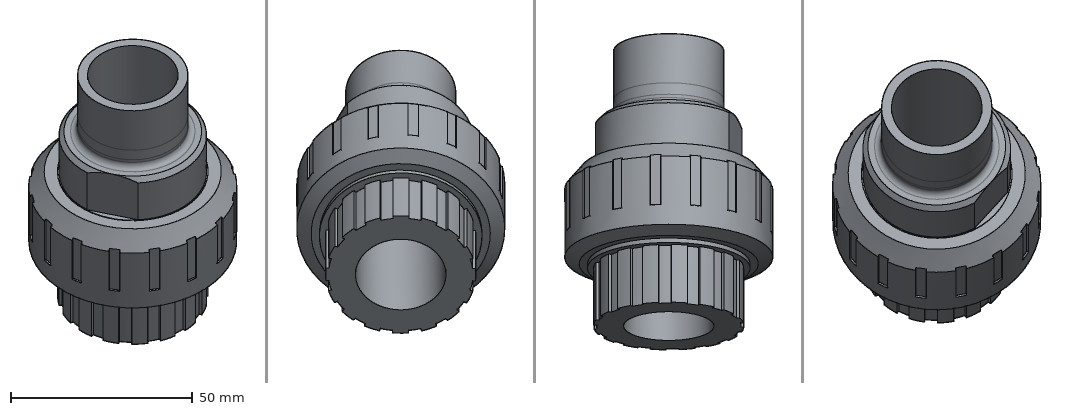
import cadquery as cq
import math

bore_diameter = 25.0

socket_rib_diameter = 41.5
socket_root_diameter = 39.8
socket_rib_width = 4.5
socket_rib_count = 16
collar_diameter = 44.9
collar_bottom = 16.8
joint_height = 32.0

nut_diameter = 57.4
nut_top_diameter = 48.9
nut_bottom_diameter = 49.4
nut_opening_diameter = 41.6
nut_bottom = 18.1
nut_lower_edge = 20.0
nut_upper_edge = 39.8
nut_shoulder = 40.4
nut_top = 45.0

slot_count = 16
slot_width = 3.0
slot_depth = 0.6
slot_bottom = 25.8
slot_start_angle = 6.8

guide_diameter = 41.5
guide_top = 44.8
neck_diameter = 40.7
neck_top = 59.5
neck_chamfer = 1.4
spigot_diameter = 30.5
spigot_root_diameter = 30.6
taper_top = 65.7
taper_bottom = 62.3
root_fillet = 1.8
spigot_top = 80.0


def disc(diameter, bottom, top):
    """Solid cylinder about the Z axis between two heights."""
    return cq.Workplane("XY").workplane(offset=bottom).circle(diameter / 2).extrude(top - bottom)


def revolve_profile(profile):
    """Turn a closed (radius, height) profile a full turn about the Z axis."""
    return profile.close().revolve(360, (0, 0, 0), (0, 1, 0))


def make_socket_end():
    body = disc(socket_root_diameter, 0, collar_bottom)
    body = body.union(disc(collar_diameter, collar_bottom, joint_height))
    rib_envelope = disc(socket_rib_diameter, 0, collar_bottom)
    rib_pair = (
        cq.Workplane("XY")
        .rect(2 * socket_rib_diameter, socket_rib_width)
        .extrude(collar_bottom)
        .intersect(rib_envelope)
    )
    for i in range(socket_rib_count // 2):
        body = body.union(rib_pair.rotate((0, 0, 0), (0, 0, 1), i * 360 / socket_rib_count))
    return body.cut(disc(bore_diameter, 0, joint_height))


def make_union_nut():
    nut = revolve_profile(
        cq.Workplane("XZ")
        .moveTo(collar_diameter / 2, nut_bottom)
        .lineTo(nut_bottom_diameter / 2, nut_bottom)
        .lineTo(nut_diameter / 2, nut_lower_edge)
        .lineTo(nut_diameter / 2, nut_upper_edge)
        .lineTo(nut_top_diameter / 2, nut_top)
        .lineTo(nut_opening_diameter / 2, nut_top)
        .lineTo(nut_opening_diameter / 2, nut_shoulder)
        .lineTo(collar_diameter / 2, nut_shoulder)
    )
    slot_floor = nut_diameter / 2 - slot_depth
    slot = cq.Workplane("XY").box(
        2 * slot_depth, slot_width, nut_top - slot_bottom, centered=(False, True, False)
    ).translate((slot_floor, 0, slot_bottom))
    for i in range(slot_count):
        angle = slot_start_angle + i * 360 / slot_count
        nut = nut.cut(slot.rotate((0, 0, 0), (0, 0, 1), angle))
    return nut


def make_spigot_end():
    neck_top_radius = neck_diameter / 2 - neck_chamfer
    root_radius = spigot_root_diameter / 2
    fillet_reach = root_fillet * (1 - math.sqrt(0.5))
    body = revolve_profile(
        cq.Workplane("XZ")
        .moveTo(bore_diameter / 2, joint_height)
        .lineTo(collar_diameter / 2, joint_height)
        .lineTo(collar_diameter / 2, nut_shoulder)
        .lineTo(guide_diameter / 2, nut_shoulder)
        .lineTo(guide_diameter / 2, guide_top)
        .lineTo(neck_diameter / 2, guide_top)
        .lineTo(neck_diameter / 2, neck_top - neck_chamfer)
        .lineTo(neck_top_radius, neck_top)
        .lineTo(root_radius + root_fillet, neck_top)
        .threePointArc(
            (root_radius + fillet_reach, neck_top + fillet_reach),
            (root_radius, neck_top + root_fillet),
        )
        .lineTo(root_radius, taper_bottom)
        .lineTo(spigot_diameter / 2, taper_top)
        .lineTo(spigot_diameter / 2, spigot_top)
        .lineTo(bore_diameter / 2, spigot_top)
    )
    for side in (-1, 1):
        flat_cut = cq.Workplane("XY").box(
            neck_diameter, neck_chamfer, neck_top - guide_top, centered=(True, True, False)
        ).translate((0, side * (neck_top_radius + neck_chamfer / 2), guide_top))
        body = body.cut(flat_cut)
    return body


socket_end = make_socket_end().solids()
union_nut = make_union_nut().solids()
spigot_end = make_spigot_end().solids()

result = cq.Compound.makeCompound([socket_end.val(), union_nut.val(), spigot_end.val()])